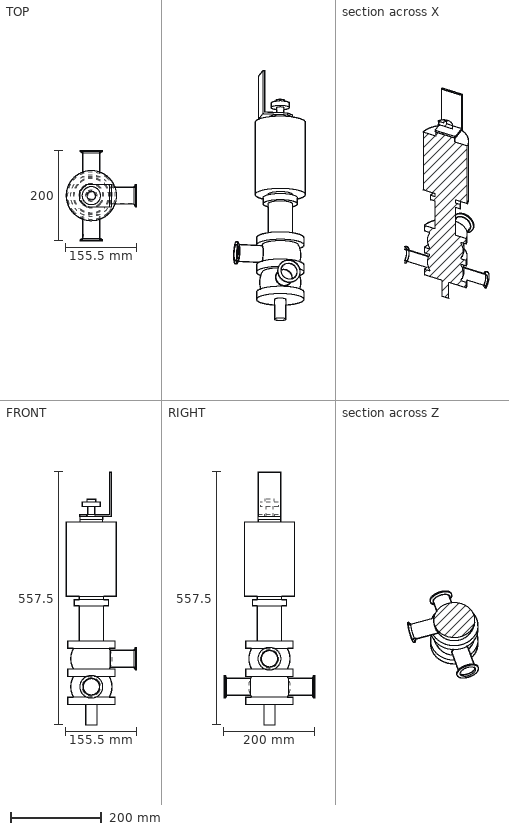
import cadquery as cq
import math


flange_diameter = 105.0
flange_thickness = 17.0
chamber_height = 45.0
chamber_pitch = flange_thickness + chamber_height
ball_diameter = 91.5
drain_diameter = 25.0
drain_length = 45.0

port_reach = 200.0 / 2
port_root = 39.0
port_diameter = 38.0
bore_diameter = 35.5
ferrule_diameter = 50.0
ferrule_rim = 3.0
ferrule_taper = 3.0
ferrule_root_diameter = 40.0

column_diameter = 54.0
column_top = 284.0
column_ring_diameter = 76.0
column_ring_bottom = 262.5
column_ring_thickness = 14.0
actuator_diameter = 111.0
actuator_top = 448.5
lower_collar_diameter = 50.0
lower_collar_height = 4.5
upper_collar_diameter = 51.0
upper_collar_height = 6.5

stem_diameter = 16.0
knob_diameter = 40.0
knob_bottom = 482.0
knob_thickness = 10.5
stem_tip_diameter = 19.5
stem_tip_top = 498.5

bracket_top = 557.5
bracket_width = 50.0
bracket_thickness = 4.5
bracket_left = -25.5
bracket_right = 44.0
bracket_chamfer = 14.5

flange_bottoms = [drain_length + i * chamber_pitch for i in range(3)]
lower_port_z = drain_length + flange_thickness + chamber_height / 2
upper_port_z = lower_port_z + chamber_pitch
lower_collar_top = actuator_top + lower_collar_height
bracket_bottom = lower_collar_top + upper_collar_height


def turned_body():
    """Everything round about the valve axis, revolved from one half outline."""
    flange_radius = flange_diameter / 2
    seat_radius = math.sqrt((ball_diameter / 2) ** 2 - (chamber_height / 2) ** 2)
    outline = cq.Workplane("XZ").lineTo(drain_diameter / 2, 0).lineTo(drain_diameter / 2, drain_length)

    for bottom in flange_bottoms:
        top = bottom + flange_thickness
        outline = outline.lineTo(flange_radius, bottom).lineTo(flange_radius, top)
        if bottom != flange_bottoms[-1]:
            outline = outline.lineTo(seat_radius, top)
            outline = outline.threePointArc(
                (ball_diameter / 2, top + chamber_height / 2),
                (seat_radius, top + chamber_height),
            )

    step_bottom = flange_bottoms[-1] + flange_thickness
    for diameter, top in (
        (column_diameter, column_ring_bottom),
        (column_ring_diameter, column_ring_bottom + column_ring_thickness),
        (column_diameter, column_top),
        (actuator_diameter, actuator_top),
        (lower_collar_diameter, lower_collar_top),
        (upper_collar_diameter, bracket_bottom),
        (stem_diameter, knob_bottom),
        (knob_diameter, knob_bottom + knob_thickness),
        (stem_tip_diameter, stem_tip_top),
    ):
        outline = outline.lineTo(diameter / 2, step_bottom).lineTo(diameter / 2, top)
        step_bottom = top
    return outline.lineTo(0, stem_tip_top).close().revolve(360, (0, 0, 0), (0, 1, 0))


def port(center_z, turn):
    """Pipe with a flared ferrule, pointing along +X and then turned about Z.

    The tube wall is sunk into the ball, so its bore ends at the ball surface.
    """
    rim_start = port_reach - ferrule_rim
    outline = [
        (port_root, bore_diameter / 2),
        (port_root, port_diameter / 2),
        (rim_start - ferrule_taper, port_diameter / 2),
        (rim_start - ferrule_taper, ferrule_root_diameter / 2),
        (rim_start, ferrule_diameter / 2),
        (port_reach, ferrule_diameter / 2),
        (port_reach, bore_diameter / 2),
    ]
    pipe = cq.Workplane("XY").polyline(outline).close().revolve(360, (0, 0, 0), (1, 0, 0))
    return pipe.rotate((0, 0, 0), (0, 0, 1), turn).translate((0, 0, center_z))


def make_valve():
    """Drain, ball chambers, ports, actuator and indicator stem as one solid."""
    valve = turned_body()
    for center_z, turn in ((upper_port_z, 0), (lower_port_z, 90), (lower_port_z, -90)):
        valve = valve.union(port(center_z, turn))
    return valve


def make_bracket():
    """L-shaped plate resting on the collar, with a hole for the stem."""
    profile = [
        (bracket_left, bracket_bottom),
        (bracket_right, bracket_bottom),
        (bracket_right, bracket_top),
        (bracket_right - bracket_thickness, bracket_top),
        (bracket_right - bracket_thickness, bracket_bottom + bracket_thickness),
        (bracket_left, bracket_bottom + bracket_thickness),
    ]
    plate = cq.Workplane("XZ").polyline(profile).close().extrude(bracket_width / 2, both=True)
    plate = plate.faces("<X").edges("|Z").chamfer(bracket_chamfer)
    stem_hole = cq.Workplane("XY").workplane(offset=bracket_bottom)
    stem_hole = stem_hole.circle(stem_diameter / 2).extrude(bracket_thickness)
    return plate.cut(stem_hole)


valve = make_valve()
bracket = make_bracket()
result = cq.Compound.makeCompound([valve.val(), bracket.val()])